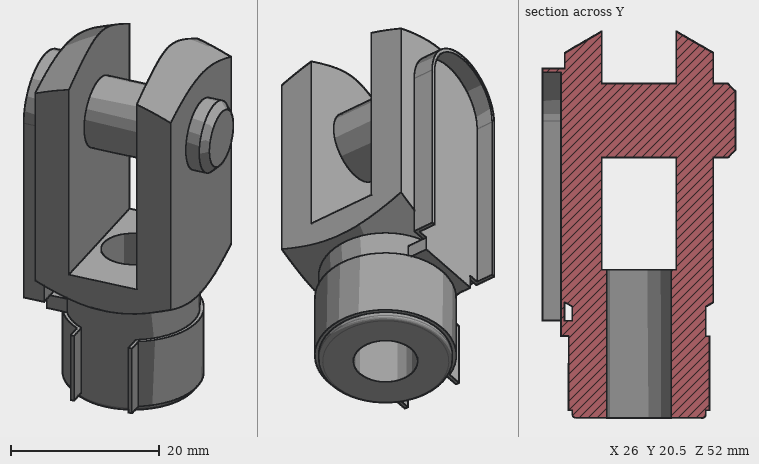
import cadquery as cq
import math

fork_width = 19.95
fork_half = fork_width / 2
slot_width = fork_width / 2
slot_floor_z = 19.95
fork_bottom_z = 15.0
top_z = 52
envelope_radius_ratio = 1.5
cone_slope = math.tan(math.radians(30))

shank_radius = 9.0
shank_edge_fillet = 0.5
bore_diameter = 8.65

pin_diameter = 10.0
pin_z = 40.0
pin_end_x = 13
pin_chamfer = 1.05

sheet = 0.5
clip_outer_x = -13
clip_half_width = 7.0
clip_bottom_z = 13.1
tab_width = 10.0
ring_bottom_z = 1.05
ring_top_z = 11.0
ring_radius = shank_radius + sheet
ring_gap = 8.0
wing_tip_y = -10.5


def box(x_range, y_range, z_range):
    """Box spanning the given (low, high) limits along each axis."""
    limits = (x_range, y_range, z_range)
    sizes = [high - low for low, high in limits]
    corner = tuple(low for low, high in limits)
    return cq.Workplane("XY").box(*sizes, centered=False).translate(corner)


def cylinder(radius, bottom_z, end_z):
    return cq.Workplane("XY").workplane(offset=bottom_z).circle(radius).extrude(end_z - bottom_z)


def make_fork():
    """Square block turned to a cone at both ends, then slotted."""
    half_slot = slot_width / 2
    block = box((-fork_half, fork_half), (-fork_half, fork_half), (fork_bottom_z, top_z))
    turned_radius = fork_half * envelope_radius_ratio
    turned_profile = [
        (0, fork_bottom_z),
        (shank_radius, fork_bottom_z),
        (turned_radius, fork_bottom_z + (turned_radius - shank_radius) * cone_slope),
        (turned_radius, top_z - (turned_radius - half_slot) * cone_slope),
        (half_slot, top_z),
        (0, top_z),
    ]
    envelope = cq.Workplane("XZ").polyline(turned_profile).close().revolve(360, (0, 0), (0, 1))
    slot = box((-half_slot, half_slot), (-fork_half, fork_half), (slot_floor_z, top_z))
    return block.intersect(envelope).cut(slot)


def make_shank():
    return cylinder(shank_radius, 0, fork_bottom_z).faces("<Z").fillet(shank_edge_fillet)


def make_pin():
    start_x = -fork_half
    pin = cq.Workplane("YZ", origin=(start_x, 0, pin_z)).circle(pin_diameter / 2)
    return pin.extrude(pin_end_x - start_x).faces(">X").chamfer(pin_chamfer)


def clip_plate(half_width, start_x, end_x):
    """Round-topped plate lying across X, its arc centred on the pin."""
    return (
        cq.Workplane("YZ", origin=(start_x, 0, 0))
        .moveTo(-half_width, clip_bottom_z)
        .lineTo(-half_width, pin_z)
        .threePointArc((0, pin_z + half_width), (half_width, pin_z))
        .lineTo(half_width, clip_bottom_z)
        .close()
        .extrude(end_x - start_x)
    )


def make_clip_channel():
    """Channel with a raised rim, open outwards and at its lower end."""
    floor_x = -fork_half - sheet
    plate = clip_plate(clip_half_width, clip_outer_x, -fork_half)
    recess = clip_plate(clip_half_width - sheet, clip_outer_x, floor_x)
    return plate.cut(recess)


def make_clip_tab():
    """Tab joining the channel floor to the shank and the clip ring."""
    half_tab = tab_width / 2
    inner_x = -bore_diameter / 2 - sheet
    return box((-fork_half - sheet, inner_x), (-half_tab, half_tab), (ring_top_z, clip_bottom_z))


def make_clip_ring():
    """Ring around the shank, open at -Y between two straight wings."""
    half_gap = ring_gap / 2
    heights = (ring_bottom_z, ring_top_z)
    gap = box((-half_gap, half_gap), (-ring_radius, 0), heights)
    ring = cylinder(ring_radius, *heights).cut(cylinder(shank_radius, *heights)).cut(gap)
    wing_root_y = -math.sqrt(shank_radius**2 - (half_gap + sheet) ** 2)
    wing = box((half_gap, half_gap + sheet), (wing_tip_y, wing_root_y), heights)
    return ring.union(wing).union(wing.mirror("YZ"))


body = make_fork().union(make_shank()).cut(cylinder(bore_diameter / 2, 0, slot_floor_z))
clip = make_clip_channel().union(make_clip_tab()).union(make_clip_ring())
result = body.union(make_pin()).union(clip)